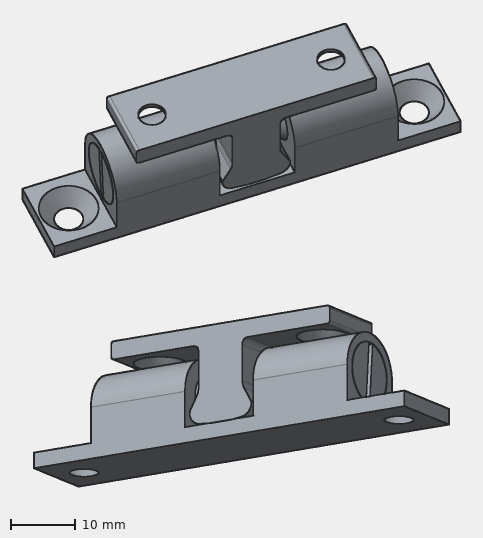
import cadquery as cq
import math

catch_length = 68.4
catch_width = 13.0
base_thickness = 2.5

barrel_radius = catch_width / 2
barrel_axis_z = 8.35
barrel_outer_y = 23.7
barrel_inner_y = 6.3
mount_hole_y = 29.1
mount_hole_diameter = 4.5
mount_countersink_diameter = 9.3
ball_radius = 4.5
ball_tip_y = 4.6
ball_z = 8.4
plug_diameter = 10.0
plug_recess = 0.1
plug_slot_width = 1.0
plug_slot_depth = 1.0
plug_slot_tilt = 5.0

strike_length = 40.35
strike_width = 12.2
strike_top_z = 18.5
strike_thickness = 2.95
strike_underside_z = strike_top_z - strike_thickness
strike_edge_radius = 0.5
strike_hole_y = 15.05
strike_hole_diameter = 4.3
strike_countersink_diameter = 8.3
strike_countersink_depth = 2.3
neck_half_width = 4.05
neck_root_radius = 1.0
neck_bottom_z = 8.0
neck_blend_radius = 2.4
foot_half_width = 5.7
foot_widest_z = 5.05
foot_corner_y = 4.1
foot_corner_z = 2.9


def make_barrel(side):
    """Round-topped block on one end of the base, with its ball and slotted plug."""
    length = barrel_outer_y - barrel_inner_y
    middle_y = side * (barrel_outer_y + barrel_inner_y) / 2
    profile = (
        cq.Workplane("XZ")
        .moveTo(-barrel_radius, 0)
        .lineTo(barrel_radius, 0)
        .lineTo(barrel_radius, barrel_axis_z)
        .threePointArc((0, barrel_axis_z + barrel_radius), (-barrel_radius, barrel_axis_z))
        .close()
    )
    block = profile.extrude(length).translate((0, middle_y + length / 2, 0))
    return block.union(make_ball(side)).cut(make_plug_pocket(side))


def make_ball(side):
    """Ball that bulges out of the inner face of a barrel."""
    ball = cq.Workplane("XY").sphere(ball_radius)
    return ball.translate((0, side * (ball_tip_y + ball_radius), ball_z))


def axial_cylinder(diameter, length, middle_y):
    """Cylinder on the barrel axis, centred at middle_y."""
    cylinder = cq.Workplane("XZ").circle(diameter / 2).extrude(length)
    return cylinder.translate((0, middle_y + length / 2, barrel_axis_z))


def make_plug_pocket(side):
    """Shallow round recess over the plug, and the tilted driver slot in it."""
    recess = axial_cylinder(plug_diameter, 2 * plug_recess, side * barrel_outer_y)
    slot = cq.Workplane("XY").box(plug_slot_width, 2 * plug_slot_depth, plug_diameter)
    slot = slot.rotate((0, 0, 0), (0, 1, 0), -plug_slot_tilt)
    slot = slot.translate((0, side * barrel_outer_y, barrel_axis_z))
    slot = slot.intersect(axial_cylinder(plug_diameter, 2 * plug_slot_depth, side * barrel_outer_y))
    return recess.union(slot)


def make_mount_hole(side):
    """Screw hole whose countersink fills the whole base thickness."""
    cone = cq.Solid.makeCone(mount_hole_diameter / 2, mount_countersink_diameter / 2, base_thickness)
    return cq.Workplane(cone).translate((0, side * mount_hole_y, 0))


def make_catch():
    """Base plate with both barrels and both screw holes."""
    catch = cq.Workplane("XY").box(
        catch_width, catch_length, base_thickness, centered=(True, True, False)
    )
    for side in (-1, 1):
        catch = catch.union(make_barrel(side)).cut(make_mount_hole(side))
    return catch


def make_strike_foot():
    """Neck and foot, extruded across the catch; the foot rests on the base."""
    bulge = math.sqrt(0.5)
    bulge_y = foot_corner_y + (foot_half_width - foot_corner_y) * bulge
    bulge_z = foot_widest_z - (foot_widest_z - foot_corner_z) * bulge
    outline = (
        cq.Workplane("YZ")
        .moveTo(-neck_half_width, strike_underside_z)
        .lineTo(-neck_half_width, neck_bottom_z)
        .lineTo(-foot_half_width, foot_widest_z)
        .threePointArc((-bulge_y, bulge_z), (-foot_corner_y, foot_corner_z))
        .threePointArc((0, base_thickness), (foot_corner_y, foot_corner_z))
        .threePointArc((bulge_y, bulge_z), (foot_half_width, foot_widest_z))
        .lineTo(neck_half_width, neck_bottom_z)
        .lineTo(neck_half_width, strike_underside_z)
        .close()
    )
    return outline.extrude(strike_width).translate((-strike_width / 2, 0, 0))


def make_strike_hole(side):
    """Plate hole, countersunk from the underside."""
    hole = cq.Workplane("XY").circle(strike_hole_diameter / 2).extrude(strike_thickness)
    cone = cq.Solid.makeCone(
        strike_countersink_diameter / 2, strike_hole_diameter / 2, strike_countersink_depth
    )
    return hole.union(cq.Workplane(cone)).translate((0, side * strike_hole_y, strike_underside_z))


def fillet_neck_edges(strike, edge_z, radius):
    """Round the two inside edges that run along X on the neck sides at edge_z."""
    margin = 0.1
    zone = cq.selectors.BoxSelector(
        (-strike_width, -neck_half_width - margin, edge_z - margin),
        (strike_width, neck_half_width + margin, edge_z + margin),
    )
    return strike.edges(zone).edges("|X").fillet(radius)


def make_strike():
    """Plate, neck and foot, with shallow dimples where the balls press on the foot."""
    plate = cq.Workplane("XY").box(strike_width, strike_length, strike_thickness)
    plate = plate.translate((0, 0, strike_top_z - strike_thickness / 2))
    plate = plate.faces("<Y or >Y").edges("|X").fillet(strike_edge_radius)
    strike = plate.union(make_strike_foot())
    strike = fillet_neck_edges(strike, strike_underside_z, neck_root_radius)
    strike = fillet_neck_edges(strike, neck_bottom_z, neck_blend_radius)
    for side in (-1, 1):
        strike = strike.cut(make_strike_hole(side)).cut(make_ball(side))
    return strike


catch = make_catch()
strike = make_strike()
result = cq.Compound.makeCompound([*catch.solids().vals(), *strike.solids().vals()])